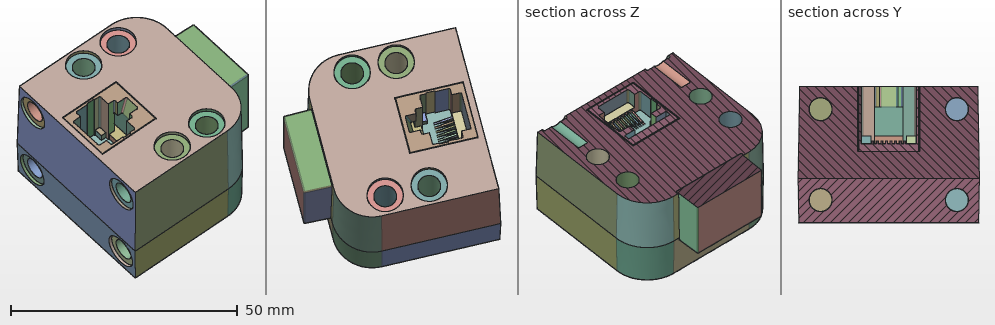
import cadquery as cq
import math

EXTRA = 0.4

housing_width = 40.02
housing_length = 36.0
housing_height = 30.0
parting_height = 9.85
corner_radius = 9.0
draft_angle = 1.0

hole_diameter = 5.0
counterbore_diameter = 8.0
hole_half_spacing = 15.0
vertical_hole_rows = (15.0, 25.0)
vertical_counterbore_depth = 0.9
front_hole_heights = (5.0, 25.0)
front_hole_depth = 10.0
front_counterbore_depth = 0.9

block_size = 18.9
block_center_height = 18.45
block_projection = 6.05
block_insertion = 1.0
block_edge_radius = 0.25

jack_width = 13.3
jack_front = 1.95
jack_back = 17.25
jack_height = 14.3
jack_gap = 0.15
jack_front_gap = 0.1

notch_width = 4.05
notch_back = 16.25
step_width = 6.22
step_back = 13.75
main_width = 12.02
main_back = 12.0
main_front = 5.05
slot_width = 8.83
slot_front = 2.85
opening_radius = 0.35

main_depth = 12.6
ledge_depth = 10.95
latch_depth = 4.5
latch_back = 15.0
latch_floor_front = 12.28
ledge_width = 2.05
ledge_front = 10.68
groove_front = 8.45
groove_back = 10.45
groove_depth = 0.2

contact_count = 8
contact_pitch = 1.0
contact_width = 0.45
contact_back = 9.35
contact_rise = 1.25


def box(width, front, back, bottom, top):
    """Box centred on X between two Y and two Z positions."""
    return (
        cq.Workplane("XY", origin=(0, (front + back) / 2, bottom))
        .rect(width, back - front)
        .extrude(top - bottom)
    )


def drafted_shell_half(height):
    """Half of the housing, shrinking with draft away from the parting plane (signed height)."""
    half_width = housing_width / 2
    side_end = housing_length - corner_radius
    rear_half_width = half_width - corner_radius
    diagonal = corner_radius * math.sqrt(0.5)
    return (
        cq.Workplane("XY", origin=(0, 0, parting_height))
        .moveTo(-half_width, 0)
        .lineTo(half_width, 0)
        .lineTo(half_width, side_end)
        .threePointArc((rear_half_width + diagonal, side_end + diagonal), (rear_half_width, housing_length))
        .lineTo(-rear_half_width, housing_length)
        .threePointArc((-rear_half_width - diagonal, side_end + diagonal), (-half_width, side_end))
        .close()
        .extrude(height, taper=draft_angle)
    )


def vertical_hole_cutter():
    """Four through holes with counterbores in the top face."""
    points = [(x, y) for x in (-hole_half_spacing, hole_half_spacing) for y in vertical_hole_rows]
    bores = (
        cq.Workplane("XY", origin=(0, 0, -EXTRA))
        .pushPoints(points)
        .circle(hole_diameter / 2)
        .extrude(housing_height + 2 * EXTRA)
    )
    counterbores = (
        cq.Workplane("XY", origin=(0, 0, housing_height - vertical_counterbore_depth))
        .pushPoints(points)
        .circle(counterbore_diameter / 2)
        .extrude(vertical_counterbore_depth + EXTRA)
    )
    return bores.union(counterbores)


def front_hole_cutter():
    """Four blind holes with counterbores in the front face."""
    points = [(x, z) for x in (-hole_half_spacing, hole_half_spacing) for z in front_hole_heights]

    def cylinders(diameter, depth):
        return (
            cq.Workplane("XZ", origin=(0, -EXTRA, 0))
            .pushPoints(points)
            .circle(diameter / 2)
            .extrude(-(depth + EXTRA))
        )

    bores = cylinders(hole_diameter, front_hole_depth)
    return bores.union(cylinders(counterbore_diameter, front_counterbore_depth))


def make_rear_block():
    """Drafted block seated in the rear wall, with all its exposed edges rounded."""
    seat = housing_length - block_insertion
    base_size = block_size + 2 * block_insertion * math.tan(math.radians(draft_angle))
    return (
        cq.Workplane("XZ", origin=(0, seat, block_center_height))
        .rect(base_size, base_size)
        .extrude(-(block_insertion + block_projection), taper=draft_angle)
        .edges("not <Y")
        .fillet(block_edge_radius)
    )


def jack_pocket_cutter():
    """Pocket for the jack, with a narrow gap all around and a tighter one at the front."""
    return box(
        jack_width + 2 * jack_gap,
        jack_front - jack_front_gap,
        jack_back + jack_gap,
        housing_height - jack_height,
        housing_height + EXTRA,
    )


def cavity(width, front, back, depth):
    """Box cutter going down from the top face."""
    return box(width, front, back, housing_height - depth, housing_height + EXTRA)


def latch_cutter():
    """Stepped latch opening with a sloping notch and an undercut behind the step."""
    latch_height = housing_height - latch_depth
    slope = (notch_back - latch_back) / latch_depth
    notch = (
        cq.Workplane("YZ", origin=(-notch_width / 2, 0, 0))
        .moveTo(main_back, latch_height)
        .lineTo(latch_back, latch_height)
        .lineTo(notch_back + slope * EXTRA, housing_height + EXTRA)
        .lineTo(main_back, housing_height + EXTRA)
        .close()
        .extrude(notch_width)
        .faces(">Y")
        .edges("not #Z")
        .fillet(opening_radius)
    )
    ledge_height = housing_height - ledge_depth
    step = cavity(step_width, main_back, step_back, latch_depth).edges("|Z and >Y").fillet(opening_radius)
    passage = box(step_width, main_back, step_back, ledge_height, latch_height)
    undercut = box(main_width, step_back, latch_back, ledge_height, latch_height)
    throat = cavity(step_width, main_back, latch_floor_front, main_depth)
    return notch.union(step).union(passage).union(undercut).union(throat)


def opening_cutter():
    """Plug opening of the jack."""
    main = cavity(main_width, main_front, main_back, main_depth).edges("|Z").fillet(opening_radius)
    slot = cavity(slot_width, slot_front, main_front, ledge_depth).edges("|Z and <Y").fillet(opening_radius)
    grooves = cavity(main_width + 2 * groove_depth, groove_front, groove_back, main_depth)
    return main.union(slot).union(grooves).union(latch_cutter())


def corner_ledges():
    """Two raised ledges in the rear corners of the opening floor, reaching into the jack walls."""
    bottom = housing_height - jack_height
    top = housing_height - ledge_depth
    back = main_back + opening_radius
    ledges = box(main_width + 2 * opening_radius, ledge_front, back, bottom, top)
    middle = box(main_width - 2 * ledge_width, ledge_front, back, bottom, top)
    return ledges.cut(middle)


def make_contact(index):
    """Wedge-shaped contact that slopes down from the front slot to the opening floor."""
    floor = housing_height - main_depth
    center = (index - (contact_count - 1) / 2) * contact_pitch
    return (
        cq.Workplane("YZ", origin=(center - contact_width / 2, 0, 0))
        .moveTo(main_front, floor)
        .lineTo(contact_back, floor)
        .lineTo(main_front, floor + contact_rise)
        .close()
        .extrude(contact_width)
    )


def make_jack():
    """Modular jack, one solid with its contacts."""
    jack = box(jack_width, jack_front, jack_back, housing_height - jack_height, housing_height)
    jack = jack.cut(opening_cutter()).union(corner_ledges())
    for index in range(contact_count):
        jack = jack.union(make_contact(index))
    return jack


rear_block = make_rear_block()
jack = make_jack()
holes = vertical_hole_cutter().union(front_hole_cutter())
lower_housing = drafted_shell_half(-parting_height).cut(holes).cut(rear_block)
upper_housing = (
    drafted_shell_half(housing_height - parting_height)
    .cut(holes)
    .cut(rear_block)
    .cut(jack_pocket_cutter())
)

result = cq.Compound.makeCompound([
    lower_housing.val(),
    upper_housing.val(),
    rear_block.val(),
    jack.val(),
])